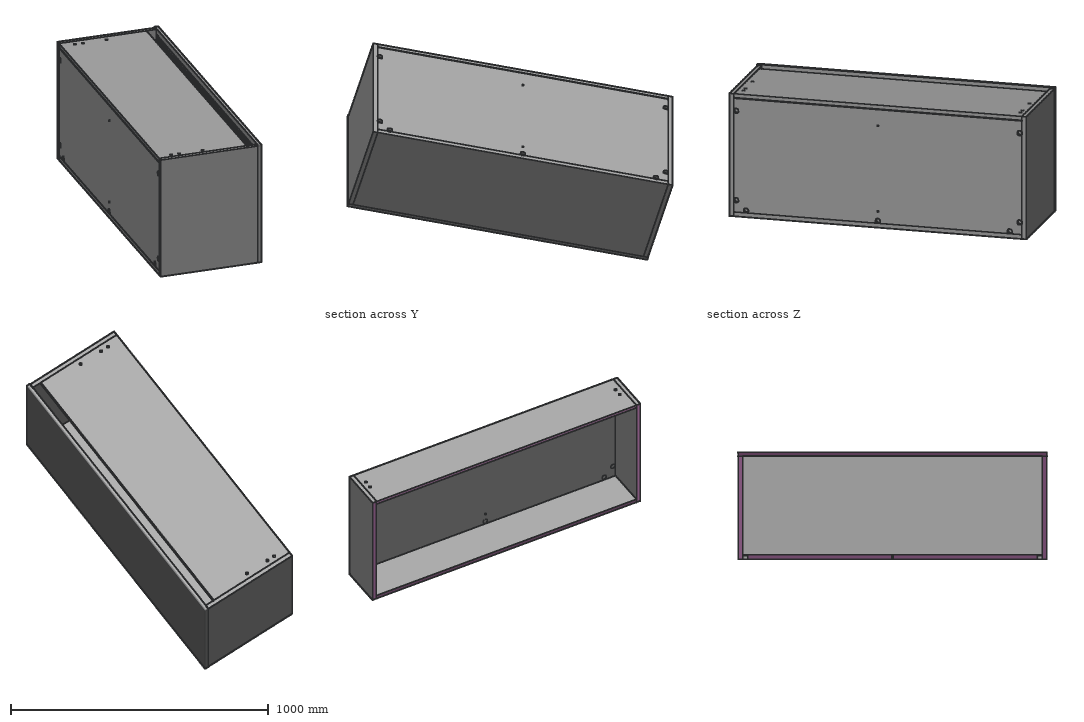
import cadquery as cq

overall_depth = 415.0

door_width = 1200.0
door_height = 500.0
door_thickness = 15.0
door_draft = 1.2
door_edge_radius = 2.0

groove_end_margin = 6.0
groove_top_drop = 25.0
groove_height = 22.0
groove_depth = 7.0

carcass_width = 1196.0
panel_thickness = 18.0
top_thickness = 15.0
door_overhang = 5.0
top_back_gap = 3.0
grip_opening = 40.0

connector_radius = 10.0
connector_depth = 13.0
connector_edge_distance = 9.0
side_connector_heights = (66.0, 427.0)
bottom_connector_offset = 532.0

screw_hole_radius = 2.0
screw_hole_heights = (66.0, 412.0)

top_hole_radius = 5.0
top_hole_floor = 2.6
top_hole_offset = 558.0
top_hole_distances = (58.0, 90.0, 187.0)

carcass_depth = overall_depth - door_thickness
carcass_height = door_height - door_overhang
inner_width = carcass_width - 2 * panel_thickness
top_underside_z = carcass_height - top_thickness
back_height = top_underside_z - top_back_gap - panel_thickness


def board(x_size, y_size, z_size, y_start, z_start):
    """Rectangular block centred on X that starts at the given Y and Z."""
    block = cq.Workplane("XY").box(x_size, y_size, z_size, centered=(True, False, False))
    return block.translate((0, y_start, z_start))


def rear_holes(points, radius, depth):
    """Cutters that enter the rear face at (x, z) points."""
    return cq.Workplane("XZ").pushPoints(points).circle(radius).extrude(-depth)


def make_side(direction):
    """Side panel on the -X (-1) or +X (1) end."""
    side = board(panel_thickness, carcass_depth, carcass_height, 0, 0)
    return side.translate((direction * (carcass_width - panel_thickness) / 2, 0, 0))


def make_bottom():
    """Bottom panel between the sides."""
    return board(inner_width, carcass_depth, panel_thickness, 0, 0)


def make_top():
    """Top panel that stops short of the door and has blind holes from below."""
    top = board(inner_width, carcass_depth - grip_opening, top_thickness, 0, top_underside_z)
    points = [(x, y) for x in (-top_hole_offset, top_hole_offset) for y in top_hole_distances]
    underside = cq.Workplane("XY", origin=(0, 0, top_underside_z)).pushPoints(points)
    holes = underside.circle(top_hole_radius).extrude(top_thickness - top_hole_floor)
    return top.cut(holes)


def make_back():
    """Back panel with connector pockets along three edges and two screw holes."""
    back = board(inner_width, panel_thickness, back_height, 0, panel_thickness)

    side_x = inner_width / 2 - connector_edge_distance
    bottom_z = panel_thickness + connector_edge_distance
    connectors = [(x, z) for x in (-side_x, side_x) for z in side_connector_heights]
    connectors += [(x, bottom_z) for x in (-bottom_connector_offset, 0, bottom_connector_offset)]
    back = back.cut(rear_holes(connectors, connector_radius, connector_depth))

    screws = [(0, z) for z in screw_hole_heights]
    return back.cut(rear_holes(screws, screw_hole_radius, panel_thickness))


def make_door():
    """Door slab with drafted, rounded edges and a finger groove behind its upper edge."""
    inner_face = cq.Workplane("XZ", origin=(0, carcass_depth, door_height / 2))
    door = inner_face.rect(door_width, door_height).extrude(-door_thickness, taper=door_draft)
    door = door.edges("not <Y").fillet(door_edge_radius)

    groove_width = inner_width - 2 * groove_end_margin
    groove_z = door_height - groove_top_drop - groove_height
    return door.cut(board(groove_width, groove_depth, groove_height, carcass_depth, groove_z))


sides = [make_side(direction) for direction in (-1, 1)]
bottom = make_bottom()
top = make_top()
back = make_back()
door = make_door()

result = cq.Compound.makeCompound(
    [*[side.val() for side in sides], bottom.val(), top.val(), back.val(), door.val()]
)